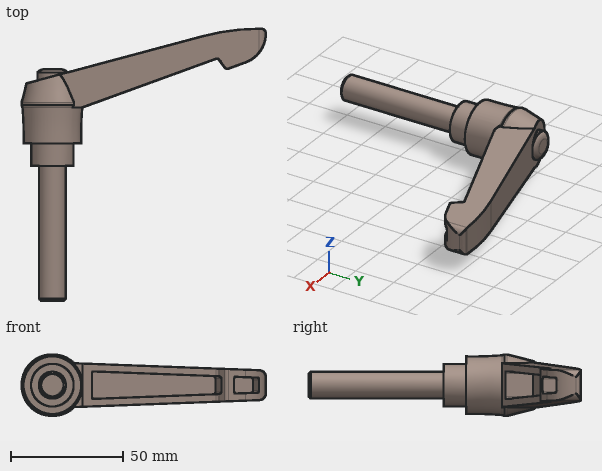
import cadquery as cq
import math


stud_radius = 12 / 2
stud_length = 60
stud_chamfer = 1
sleeve_radius = 19 / 2
sleeve_length = 10

hub_foot_radius = 12.87
hub_mid_radius = 12.9
hub_top_radius = 13.35
hub_top_y = 26
rim_radius = 27.46 / 2
rim_step = 1.12
rim_low_y = hub_top_y + rim_step
rim_high_y = rim_low_y + rim_step
cone_half_angle = 14.3
cone_top_y = 45

button_radius = 13.4 / 2
button_shoulder_y = 41.5
button_top_y = 43.05
button_flat_radius = 3.5

top_angle = 15
top_height_on_axis = 39.8
handle_top_y = 61.07
grip_arc_radius = 98
underside_angle = 20
underside_start_x = 13.5
nose_x = 108.75 - rim_radius
nose_arc_radius = 14
nose_fillet = 2.2
hook_valley_x = 73.6
hook_tip_x = 77.25
hook_depth = 6.0
hook_valley_fillet = 1
hook_tip_fillet = 1.4

half_width_on_axis = 10.18
side_taper = 2.16
end_corner_radius = 3.2

side_wall = 3.45
top_wall = 3.7
pocket_corner_radius = 1
long_pocket_start = 14.8
long_pocket_end = 75.1
hook_pocket_start = 80.2
hook_pocket_end = 92.5
pocket_reach = 20


def slope(angle):
    """Rise per unit run of a line at the given angle in degrees."""
    return math.tan(math.radians(angle))


def unit(angle):
    """Unit vector at the given angle in degrees from +X."""
    return math.cos(math.radians(angle)), math.sin(math.radians(angle))


def half_width(x):
    """Half the Z thickness of the tapered handle at x."""
    return half_width_on_axis - x * slope(side_taper)


def underside_y(x):
    """Height of the straight underside of the handle at x."""
    return hub_top_y + (x - underside_start_x) * slope(underside_angle)


def top_y(x):
    """Height of the straight top of the handle at x."""
    return top_height_on_axis + x * slope(top_angle)


def make_stud_and_sleeve():
    stud = (
        cq.Workplane("XZ")
        .circle(stud_radius)
        .extrude(stud_length)
        .faces("<Y")
        .chamfer(stud_chamfer)
    )
    sleeve = cq.Workplane("XZ").circle(sleeve_radius).extrude(-sleeve_length)
    return stud.union(sleeve)


def make_hub():
    """Revolved skirt, rim and cone, cut off by the sloping top plane of the handle."""
    cone_top_radius = rim_radius - (cone_top_y - rim_high_y) * slope(cone_half_angle)
    hub = (
        cq.Workplane("XY")
        .moveTo(0, sleeve_length)
        .lineTo(hub_foot_radius, sleeve_length)
        .threePointArc((hub_mid_radius, (sleeve_length + hub_top_y) / 2), (hub_top_radius, hub_top_y))
        .lineTo(rim_radius, rim_low_y)
        .lineTo(rim_radius, rim_high_y)
        .lineTo(cone_top_radius, cone_top_y)
        .lineTo(0, cone_top_y)
        .close()
        .revolve(360, (0, 0, 0), (0, 1, 0))
    )
    reach = 2 * rim_radius
    above_top = (
        cq.Workplane("XY")
        .polyline([
            (-reach, top_y(-reach)),
            (reach, top_y(reach)),
            (reach, 2 * cone_top_y),
            (-reach, 2 * cone_top_y),
        ])
        .close()
        .extrude(reach, both=True)
    )
    return hub.cut(above_top)


def make_button():
    """Release button with a domed top, standing proud of the sloping top plane."""
    return (
        cq.Workplane("XY")
        .moveTo(0, hub_top_y)
        .lineTo(0, button_top_y)
        .lineTo(button_flat_radius, button_top_y)
        .tangentArcPoint((button_radius, button_shoulder_y), relative=False)
        .lineTo(button_radius, hub_top_y)
        .close()
        .revolve(360, (0, 0, 0), (0, 1, 0))
    )


def make_handle():
    """Side outline of the handle extruded through Z, then trimmed to its tapered width."""
    grip_drop = grip_arc_radius * (1 - math.cos(math.radians(top_angle)))
    grip_start_x = (handle_top_y - grip_drop - top_height_on_axis) / slope(top_angle)
    grip_end_x = grip_start_x + grip_arc_radius * math.sin(math.radians(top_angle))
    half_x, half_y = unit(90 + top_angle / 2)
    grip_mid = (
        grip_end_x + grip_arc_radius * half_x,
        handle_top_y - grip_arc_radius + grip_arc_radius * half_y,
    )

    along_x, along_y = unit(underside_angle)
    hook_tip = (hook_tip_x, underside_y(hook_tip_x) - hook_depth / along_x)
    nose_center_x = nose_x - nose_arc_radius
    nose_start_x = nose_center_x + nose_arc_radius * along_y
    nose_start_y = hook_tip[1] + (nose_start_x - hook_tip_x) * slope(underside_angle)
    nose_center_y = nose_start_y + nose_arc_radius * along_x
    mid_x, mid_y = unit((underside_angle - 90) / 2)
    nose_mid = (nose_center_x + nose_arc_radius * mid_x, nose_center_y + nose_arc_radius * mid_y)

    handle = (
        cq.Workplane("XY")
        .moveTo(0, hub_top_y)
        .lineTo(0, top_y(0))
        .lineTo(grip_start_x, top_y(grip_start_x))
        .threePointArc(grip_mid, (grip_end_x, handle_top_y))
        .lineTo(nose_x, handle_top_y)
        .lineTo(nose_x, nose_center_y)
        .threePointArc(nose_mid, (nose_start_x, nose_start_y))
        .lineTo(*hook_tip)
        .lineTo(hook_valley_x, underside_y(hook_valley_x))
        .lineTo(underside_start_x, hub_top_y)
        .close()
        .extrude(half_width_on_axis, both=True)
    )

    def edge_at(x, y):
        return handle.edges(cq.selectors.NearestToPointSelector((x, y, 0)))

    handle = edge_at(nose_x, handle_top_y).fillet(nose_fillet)
    handle = edge_at(*hook_tip).fillet(hook_tip_fillet)
    handle = edge_at(hook_valley_x, underside_y(hook_valley_x)).fillet(hook_valley_fillet)

    width_outline = (
        cq.Workplane("XZ")
        .polyline([
            (0, half_width(0)),
            (nose_x, half_width(nose_x)),
            (nose_x, -half_width(nose_x)),
            (0, -half_width(0)),
        ])
        .close()
        .extrude(-2 * handle_top_y)
        .edges("|Y and >X")
        .fillet(end_corner_radius)
    )
    return handle.intersect(width_outline)


def make_pocket(start, end):
    """Cutter standing square on the pocket floor, from start to end along the floor."""
    along_x, along_y = unit(top_angle)
    floor_plane = cq.Plane(
        origin=(0, top_y(0) - top_wall / along_x, 0),
        xDir=(along_x, along_y, 0),
        normal=(along_y, -along_x, 0),
    )
    start_half_width = half_width(start * along_x) - side_wall
    end_half_width = half_width(end * along_x) - side_wall
    return (
        cq.Workplane(floor_plane)
        .polyline([
            (start, start_half_width),
            (end, end_half_width),
            (end, -end_half_width),
            (start, -start_half_width),
        ])
        .close()
        .extrude(pocket_reach)
        .edges(cq.selectors.ParallelDirSelector(floor_plane.zDir))
        .fillet(pocket_corner_radius)
    )


long_pocket = make_pocket(long_pocket_start, long_pocket_end)
hook_pocket = make_pocket(hook_pocket_start, hook_pocket_end)
handle = make_handle().cut(long_pocket).cut(hook_pocket)

result = make_stud_and_sleeve().union(make_hub()).union(make_button()).union(handle)